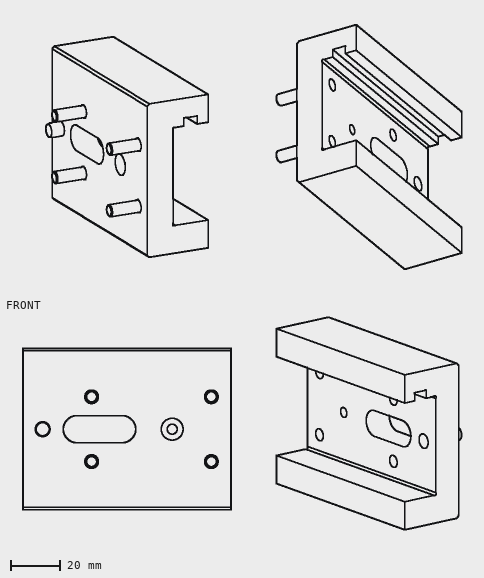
import cadquery as cq
import math

length = 85.0
height = 66.0
depth = 28.05
wall = 12.0
front_chamfer = 1.0
corner_relief_radius = 0.7

groove_width = 6.0
groove_depth = 3.5
groove_back_lip = 5.1

slot_length = 29.5
slot_height = 11.0
slot_x = -11.2

plug_x = 18.45
counterbore_diameter = 8.9
counterbore_depth = 4.6
plug_diameter = 4.1

long_pin_diameter = 5.0
clearance_diameter = 5.5
clearance_depth = wall / 2
long_pin_projection = 13.4
long_pin_chamfer = 0.4
pin_column_left_x = -14.45
pin_column_right_x = 34.4
pin_row_spacing = 26.4

short_pin_diameter = 6.0
short_pin_projection = 5.7
short_pin_x = -34.4
short_pin_taper_length = 1.2
short_pin_taper_inset = 0.3

channel_height = height - 2 * wall
long_pin_positions = [
    (x, z)
    for x in (pin_column_left_x, pin_column_right_x)
    for z in (-pin_row_spacing / 2, pin_row_spacing / 2)
]


def cylinder_along_y(diameter, x, z, y_start, y_end):
    """Cylinder parallel to Y, from y_start to the larger y_end."""
    base = cq.Workplane("XZ", origin=(x, y_start, z))
    return base.circle(diameter / 2).extrude(y_start - y_end)


def box_along_x(y_start, y_end, z_start, z_end):
    """Rectangular bar over the full length of the block."""
    bar = cq.Workplane("XY").box(length, y_end - y_start, z_end - z_start)
    return bar.translate((0, (y_start + y_end) / 2, (z_start + z_end) / 2))


def make_channel():
    """Chamfered bar with the channel, its corner reliefs and the groove cut out."""
    bar = box_along_x(0, depth, -height / 2, height / 2)
    bar = bar.faces("<Y").edges("|X").chamfer(front_chamfer)
    bar = bar.cut(box_along_x(wall, depth, -channel_height / 2, channel_height / 2))

    corner_relief_inset = corner_relief_radius / math.sqrt(2)
    relief_y = wall + corner_relief_inset
    relief_z = channel_height / 2 - corner_relief_inset
    reliefs = (
        cq.Workplane("YZ", origin=(-length / 2, 0, 0))
        .pushPoints([(relief_y, -relief_z), (relief_y, relief_z)])
        .circle(corner_relief_radius)
        .extrude(length)
    )
    groove_back = depth - groove_back_lip
    groove = box_along_x(
        groove_back - groove_width, groove_back,
        channel_height / 2, channel_height / 2 + groove_depth,
    )
    return bar.cut(reliefs).cut(groove)


def make_block():
    """Channel with the slot and with a hole for each pin and the plug."""
    slot = (
        cq.Workplane("XZ", origin=(slot_x, 0, 0))
        .slot2D(slot_length, slot_height)
        .extrude(-wall)
    )
    block = make_channel().cut(slot)
    block = block.cut(cylinder_along_y(counterbore_diameter, plug_x, 0, 0, counterbore_depth))
    block = block.cut(cylinder_along_y(plug_diameter, plug_x, 0, 0, wall))
    block = block.cut(cylinder_along_y(short_pin_diameter, short_pin_x, 0, 0, wall))
    for x, z in long_pin_positions:
        block = block.cut(cylinder_along_y(clearance_diameter, x, z, 0, clearance_depth))
        block = block.cut(cylinder_along_y(long_pin_diameter, x, z, clearance_depth, wall))
    return block


def make_plug():
    """Plug that fills the web from the counterbore floor to the channel floor."""
    return cylinder_along_y(plug_diameter, plug_x, 0, counterbore_depth, wall)


def make_long_pin(x, z):
    """Pin through the full web, snug in the rear half, with a chamfered front end."""
    pin = cylinder_along_y(long_pin_diameter, x, z, -long_pin_projection, wall)
    return pin.faces("<Y").chamfer(long_pin_chamfer)


def make_short_pin():
    """Locating pin through the web with a slender lead-in taper at its front end."""
    radius = short_pin_diameter / 2
    half_section = (
        cq.Workplane("XY", origin=(short_pin_x, 0, 0))
        .moveTo(0, wall)
        .lineTo(radius, wall)
        .lineTo(radius, short_pin_taper_length - short_pin_projection)
        .lineTo(radius - short_pin_taper_inset, -short_pin_projection)
        .lineTo(0, -short_pin_projection)
        .close()
    )
    return half_section.revolve(360, (0, 0, 0), (0, 1, 0))


block = make_block()
plug = make_plug()
short_pin = make_short_pin()
long_pins = [make_long_pin(x, z) for x, z in long_pin_positions]

result = cq.Compound.makeCompound(
    [block.val(), plug.val(), short_pin.val(), *[pin.val() for pin in long_pins]]
)